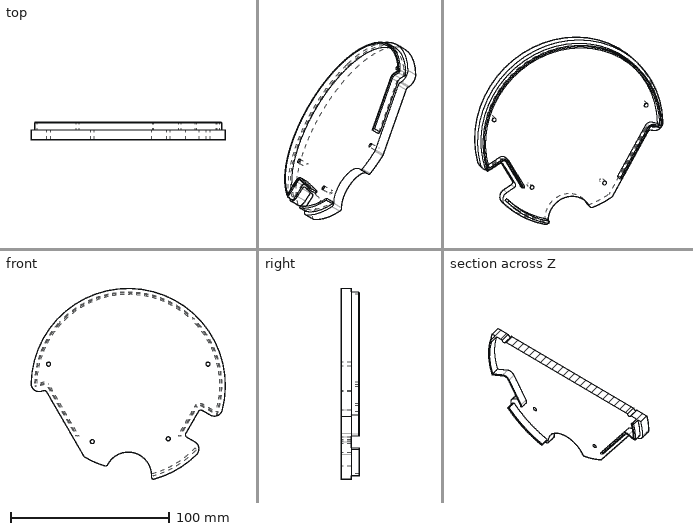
import cadquery as cq
import math

disc_radius = 61.5
plate_thickness = 6.4
total_depth = 11.4
flat_distance = 46.7
flat_tilt = 30.0
slot_width = 19.4
lobe_edge_point = (-54.6, -3.63)
lobe_edge_slope = 18.0
lower_left_radius = 53.0
notch_center_z = -56.8
notch_radius = 14.6

lobe_fillet = 5.2
inner_fillet = 1.7
tip_fillet = 1.5

lip_inset = 2.2
lip_thickness = 1.5
lip_chamfer = 0.6
lip_bottom_z = -32.0
lip_lobe_rise = 1.6
lip_lobe_fillet = 1.2
short_lip_start = -74.5
short_lip_end = -43.1

hole_diameter = 2.5
hole_centers = [(-50.4, 13.5), (50.4, 13.5), (-22.8, -35.4), (25.3, -33.7)]

cut_size = 2 * disc_radius


def polar(radius, degrees):
    angle = math.radians(degrees)
    return radius * math.cos(angle), radius * math.sin(angle)


def sketch_plane(y=0.0):
    """XZ plane at depth y; its normal is -Y, so negative extrusions run toward +Y."""
    return cq.Workplane("XZ", origin=(0, y, 0))


def disc(radius):
    return sketch_plane().circle(radius).extrude(-plate_thickness)


def right_slot():
    slot = sketch_plane().center(flat_distance + cut_size / 2, 0).rect(cut_size, slot_width)
    return slot.extrude(-plate_thickness).rotate((0, 0, 0), (0, 1, 0), flat_tilt)


def left_cut(lobe_rise):
    """Everything outside the left flat and below the edge of the left lobe."""
    flat_side = sketch_plane().center(-flat_distance - cut_size / 2, 0).rect(cut_size, 2 * cut_size)
    flat_side = flat_side.extrude(-plate_thickness).rotate((0, 0, 0), (0, 1, 0), -flat_tilt)
    edge_x, edge_z = lobe_edge_point
    below_lobe = sketch_plane().center(0, -cut_size / 2).rect(2 * cut_size, cut_size)
    below_lobe = below_lobe.extrude(-plate_thickness).rotate((0, 0, 0), (0, 1, 0), -lobe_edge_slope)
    return flat_side.intersect(below_lobe.translate((edge_x, 0, edge_z + lobe_rise)))


def lower_left_cut():
    """Rim of the lower left quarter, outside the smaller radius."""
    quarter = sketch_plane().center(-cut_size / 2, -cut_size / 2 - flat_distance / 2)
    quarter = quarter.rect(cut_size, cut_size).extrude(-plate_thickness)
    return quarter.cut(disc(lower_left_radius))


def bottom_notch():
    return sketch_plane().center(0, notch_center_z).circle(notch_radius).extrude(-plate_thickness)


def round_corner(body, point, radius):
    """Fillet the through-thickness edge closest to an (x, z) point."""
    x, z = point
    nearest = cq.selectors.NearestToPointSelector((x, plate_thickness / 2, z))
    return body.edges("|Y").edges(nearest).fillet(radius)


def sharp_plate(lobe_rise=0.0):
    body = disc(disc_radius)
    for cutter in (right_slot(), left_cut(lobe_rise), lower_left_cut(), bottom_notch()):
        body = body.cut(cutter)
    return body


def rounded_plate():
    half_angle = math.degrees(math.asin(slot_width / 2 / disc_radius))
    floor_radius = math.hypot(flat_distance, slot_width / 2)
    floor_angle = math.degrees(math.atan2(slot_width / 2, flat_distance))
    corners = [
        (polar(disc_radius, 180), lobe_fillet),
        (polar(disc_radius, half_angle - flat_tilt), lobe_fillet),
        (polar(disc_radius, -half_angle - flat_tilt), lobe_fillet),
        (polar(floor_radius, floor_angle - flat_tilt), inner_fillet),
        (polar(floor_radius, -floor_angle - flat_tilt), inner_fillet),
        (polar(flat_distance, 180), inner_fillet),
        ((notch_radius, -disc_radius), tip_fillet),
        ((-notch_radius, notch_center_z), tip_fillet),
        (polar(lower_left_radius, 180 + flat_tilt + math.degrees(math.acos(
            flat_distance / lower_left_radius))), inner_fillet),
    ]
    body = sharp_plate()
    for point, radius in corners:
        body = round_corner(body, point, radius)
    return body


def lip_outline(plate, inset):
    outline = plate.faces("<Y").val().outerWire().offset2D(-inset)[0]
    lip_vector = cq.Vector(0, total_depth - plate_thickness, 0)
    solid = cq.Solid.extrudeLinear(outline, [], lip_vector)
    return cq.Workplane(solid).translate((0, plate_thickness, 0))


def main_lip():
    """Lip following the outline, open at the bottom and rounded only at the left lobe."""
    base = sharp_plate(lip_lobe_rise)
    base = round_corner(base, polar(disc_radius, 180), lip_inset + lip_lobe_fillet)
    outer = lip_outline(base, lip_inset).faces(">Y").edges().chamfer(lip_chamfer)
    ring = outer.cut(lip_outline(base, lip_inset + lip_thickness))
    upper_side = cq.Workplane().box(2 * cut_size, cut_size, cut_size, centered=(True, True, False))
    return ring.intersect(upper_side.translate((0, 0, lip_bottom_z)))


def short_lip():
    """Arc of lip along the lower right lobe."""
    lip_depth = total_depth - plate_thickness
    outer_radius = disc_radius - lip_inset
    ring = sketch_plane(plate_thickness).circle(outer_radius).extrude(-lip_depth)
    ring = ring.cut(sketch_plane(plate_thickness).circle(outer_radius - lip_thickness).extrude(-lip_depth))
    sector = sketch_plane(plate_thickness).polyline(
        [(0, 0), polar(cut_size, short_lip_start), polar(cut_size, short_lip_end)]
    ).close().extrude(-lip_depth)
    return ring.intersect(sector)


plate = rounded_plate()
holes = sketch_plane().pushPoints(hole_centers).circle(hole_diameter / 2).extrude(-plate_thickness)
result = plate.union(main_lip()).union(short_lip()).cut(holes)